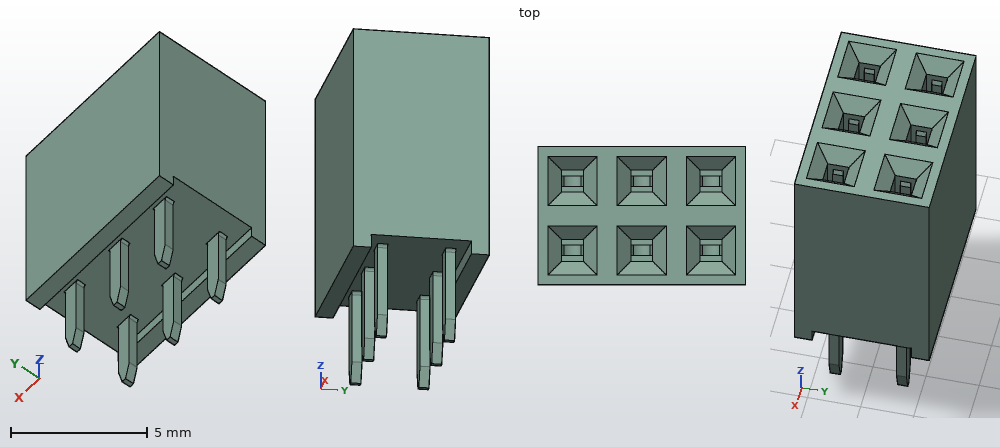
import cadquery as cq
import math

pitch = 2.54
columns = 3
rows = 2

body_length = columns * pitch
body_width = rows * pitch
body_height = 8.5
rail_width = 0.67
rail_height = 0.5

mouth_size = 1.8
cavity_size = 0.8
lead_in_depth = (mouth_size - cavity_size) / 2
cavity_floor = 2.0
cavity_top = body_height - lead_in_depth

contact_thickness = 0.38
contact_gap = 0.62
contact_top_drop = 0.26
contact_lead_in_depth = 0.16
contact_seat_height = 0.3
contact_seat_radius = 0.45

pin_width = 0.62
pin_length = 3.0
pin_tip_width = 0.2
pin_taper_length = 0.75
pin_root_radius = 0.15
pin_root_exposed = 0.13


def at_each_position(shape):
    """Return one copy of the shape at every contact position."""
    copies = cq.Workplane("XY")
    for column in range(columns):
        for row in range(rows):
            x = (column - (columns - 1) / 2) * pitch
            y = (row - (rows - 1) / 2) * pitch
            copies = copies.add(shape.translate((x, y, 0)))
    return copies.combine()


def make_housing():
    """Block with a full-length slot underneath that leaves two long rails."""
    block = cq.Workplane("XY").rect(body_length, body_width).extrude(body_height)
    slot_width = body_width - 2 * rail_width
    slot = cq.Workplane("XY").rect(body_length, slot_width).extrude(rail_height)
    return block.cut(slot)


def make_cavity():
    """Square cavity with its pyramidal lead-in, centred on the Z axis."""
    straight = (
        cq.Workplane("XY", origin=(0, 0, cavity_floor))
        .rect(cavity_size, cavity_size)
        .extrude(cavity_top - cavity_floor)
    )
    lead_in = (
        cq.Workplane("XY", origin=(0, 0, cavity_top))
        .rect(cavity_size, cavity_size)
        .workplane(offset=lead_in_depth)
        .rect(mouth_size, mouth_size)
        .loft(ruled=True)
    )
    return straight.union(lead_in)


def make_contact():
    """U-shaped contact with flared tips and a shallow curved seat."""
    wall = cavity_size / 2
    half_gap = contact_gap / 2
    top = cavity_top - contact_top_drop
    neck = top - contact_lead_in_depth
    seat_bottom = cavity_floor + contact_seat_height
    seat_rise = contact_seat_radius - math.sqrt(contact_seat_radius**2 - half_gap**2)
    seat_edge = seat_bottom + seat_rise
    return (
        cq.Workplane("XZ")
        .moveTo(-wall, cavity_floor)
        .lineTo(-wall, top)
        .lineTo(-half_gap, neck)
        .lineTo(-half_gap, seat_edge)
        .threePointArc((0, seat_bottom), (half_gap, seat_edge))
        .lineTo(half_gap, neck)
        .lineTo(wall, top)
        .lineTo(wall, cavity_floor)
        .close()
        .extrude(contact_thickness / 2, both=True)
    )


def make_pin():
    """Flat pin with a tapered tip and a root that curves out into the housing."""
    half_width = pin_width / 2
    half_tip = pin_tip_width / 2
    root_half_width = half_width + pin_root_radius
    root_start = rail_height - pin_root_exposed
    root_end = root_start + pin_root_radius
    taper_start = pin_taper_length - pin_length
    arc_inset = pin_root_radius * math.sqrt(0.5)
    arc_x = root_half_width - arc_inset
    arc_z = root_start + arc_inset
    return (
        cq.Workplane("XZ")
        .moveTo(-half_tip, -pin_length)
        .lineTo(half_tip, -pin_length)
        .lineTo(half_width, taper_start)
        .lineTo(half_width, root_start)
        .threePointArc((arc_x, arc_z), (root_half_width, root_end))
        .lineTo(-root_half_width, root_end)
        .threePointArc((-arc_x, arc_z), (-half_width, root_start))
        .lineTo(-half_width, taper_start)
        .close()
        .extrude(contact_thickness / 2, both=True)
    )


housing = make_housing().cut(at_each_position(make_cavity()))
result = housing.union(at_each_position(make_contact())).union(at_each_position(make_pin()))